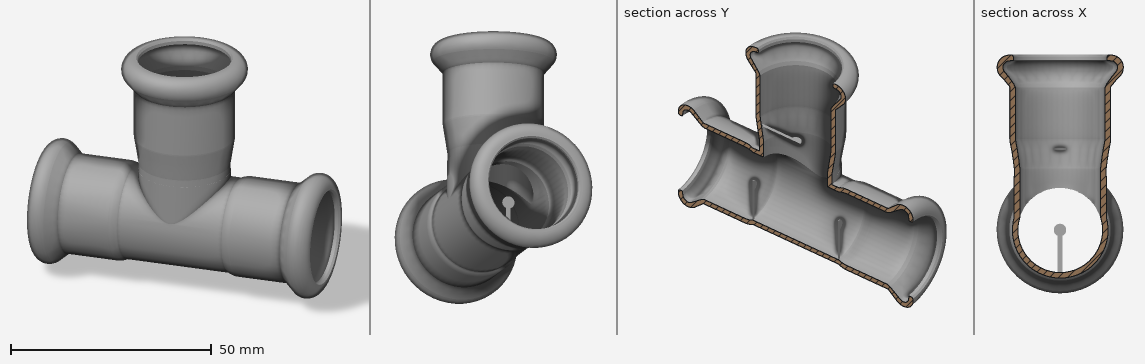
import cadquery as cq
import math

run_length = 74.0
overall_height = 59.5

bead_diameter = 31.6
socket_diameter = 25.3
socket_bore = 22.2
wall = 1.55
bead_crest_end = 5.0
bead_end = 7.9

mouth_diameter = 24.0
lip_bore = 23.2
lip_chamfer_depth = 0.5
lip_end = 1.4
groove_end_diameter = 23.1
groove_end = 7.25
socket_bore_start = 8.2

socket_depth = 21.0
marker_depth = 23.45

run_diameter = 24.0
run_bore = 21.0

branch_blend_end = 21.4
branch_cone_end = 28.35
neck_end = 30.2
neck_diameter = 23.0
stub_diameter = 23.1
branch_bore = 20.0
blend_drop = 0.04

marker_disc_diameter = 3.1
marker_stem_width = 1.2
marker_thickness = 0.2

branch_height = overall_height - bead_diameter / 2
socket_radius = socket_diameter / 2
socket_bore_radius = socket_bore / 2
bead_tube_radius = (bead_diameter - socket_diameter) / 2
groove_tube_radius = bead_tube_radius - wall
crest_sine = (bead_crest_end - bead_tube_radius) / bead_tube_radius
crest_angle = math.asin(crest_sine)


def bead_point(tube_radius, angle):
    """(radius, depth) on a bead circle; the angle runs inward from the crest."""
    return (
        socket_radius + tube_radius * math.cos(angle),
        bead_tube_radius + tube_radius * math.sin(angle),
    )


def outer_mouth():
    """Outer profile from the axis at the end face to the start of the socket."""
    return (
        cq.Workplane("XY")
        .lineTo(socket_radius, 0)
        .threePointArc(bead_point(bead_tube_radius, 0), bead_point(bead_tube_radius, crest_angle))
        .lineTo(socket_radius, bead_end)
        .lineTo(socket_radius, socket_depth)
    )


def inner_mouth():
    """Bore profile through the lip and seal groove to the end of the socket."""
    lip_radius = lip_bore / 2
    return (
        cq.Workplane("XY")
        .lineTo(mouth_diameter / 2, 0)
        .lineTo(lip_radius, lip_chamfer_depth)
        .lineTo(lip_radius, lip_end)
        .lineTo(*bead_point(groove_tube_radius, -math.pi / 2))
        .threePointArc(bead_point(groove_tube_radius, 0), bead_point(groove_tube_radius, crest_angle))
        .lineTo(groove_end_diameter / 2, groove_end)
        .lineTo(socket_bore_radius, socket_bore_start)
        .lineTo(socket_bore_radius, socket_depth)
    )


def revolve_profile(profile, length):
    """Close a profile along the Y axis and revolve it around that axis."""
    return profile.lineTo(0, length).close().revolve(360, (0, 0), (0, 1))


def run_half(mouth, middle_diameter):
    """Half of the run, necking down in a rounded step behind the socket."""
    half = run_length / 2
    profile = (
        mouth
        .tangentArcPoint((middle_diameter / 2, marker_depth), relative=False)
        .lineTo(middle_diameter / 2, half)
    )
    return revolve_profile(profile, half)


def branch_outer():
    profile = (
        outer_mouth()
        .lineTo(socket_radius - blend_drop, branch_blend_end)
        .lineTo(neck_diameter / 2, branch_cone_end)
        .lineTo(neck_diameter / 2, neck_end)
        .lineTo(stub_diameter / 2, neck_end)
        .lineTo(stub_diameter / 2, branch_height)
    )
    return revolve_profile(profile, branch_height)


def branch_inner():
    profile = (
        inner_mouth()
        .lineTo(socket_bore_radius - blend_drop, branch_blend_end)
        .lineTo(branch_bore / 2, branch_cone_end)
        .lineTo(branch_bore / 2, branch_height)
    )
    return revolve_profile(profile, branch_height)


def at_left_port(body):
    """Turn depth (+Y) to +X and profile radius (+X) to -Z."""
    return (
        body.rotate((0, 0, 0), (0, 0, 1), -90)
        .rotate((0, 0, 0), (1, 0, 0), 90)
        .translate((-run_length / 2, 0, 0))
    )


def at_right_port(body):
    return at_left_port(body).mirror("YZ")


def at_branch_port(body):
    """Turn depth (+Y) to -Z, keeping profile radius along +X."""
    return body.rotate((0, 0, 0), (1, 0, 0), -90).translate((0, 0, branch_height))


def make_tee():
    run_outer_half = run_half(outer_mouth(), run_diameter)
    run_inner_half = run_half(inner_mouth(), run_bore)
    outer = (
        at_left_port(run_outer_half)
        .union(at_right_port(run_outer_half))
        .union(at_branch_port(branch_outer()))
    )
    inner = (
        at_left_port(run_inner_half)
        .union(at_right_port(run_inner_half))
        .union(at_branch_port(branch_inner()))
    )
    return outer.cut(inner)


def make_marker():
    plane = cq.Workplane("XZ", origin=(0, marker_depth, 0))
    disc = plane.circle(marker_disc_diameter / 2).extrude(-marker_thickness)
    stem = (
        plane.center(socket_bore_radius / 2, 0)
        .rect(socket_bore_radius, marker_stem_width)
        .extrude(-marker_thickness)
    )
    return disc.union(stem)


tee = make_tee()
markers = []
for place_at_port in (at_left_port, at_right_port, at_branch_port):
    marker = place_at_port(make_marker()).cut(tee)
    markers.append(marker.solids().val())

result = cq.Compound.makeCompound([tee.solids().val(), *markers])